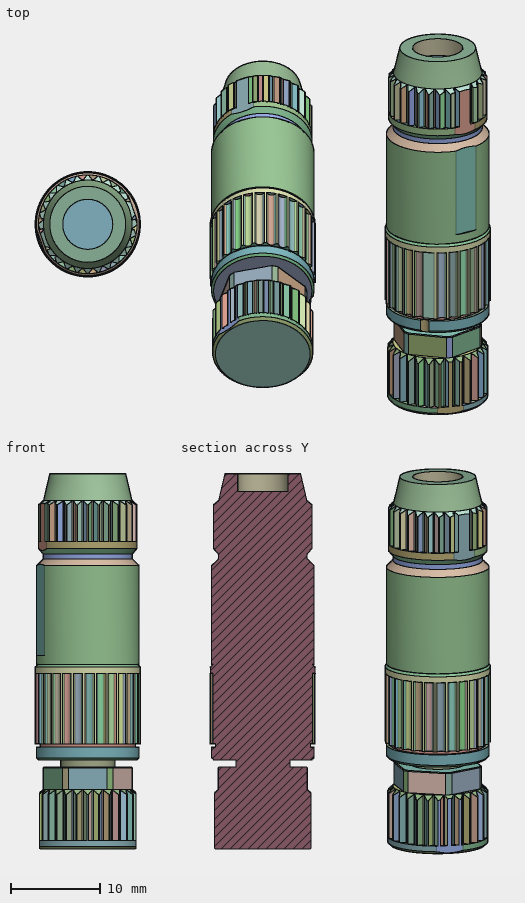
import cadquery as cq
import math

NUT_CHAMFER_TOP_Z = 0.3
NUT_KNURL_BOTTOM_Z = 0.93
NUT_SHOULDER_Z = 6.1
HEX_BOTTOM_Z = 6.65
HEX_TOP_Z = 9.18
COLLAR_BOTTOM_Z = 9.95
COLLAR_TOP_Z = 11.4
GRIP_BOTTOM_Z = 11.75
GRIP_KNURL_TOP_Z = 19.65
BODY_BOTTOM_Z = 20.65
BODY_TOP_Z = 31.7
BODY_CONE_TOP_Z = 32.45
CAP_BOTTOM_Z = 33.0
CAP_RING_BOTTOM_Z = 33.6
CAP_KNURL_BOTTOM_Z = 34.4
CAP_SHOULDER_Z = 38.5
CAP_CONE_BOTTOM_Z = 39.0
TOP_Z = 42.0

NUT_RADIUS = 5.62
NUT_BOTTOM_RADIUS = 5.3
NUT_SHOULDER_RADIUS = 5.02
HEX_CORNER_RADIUS = 5.0
NECK_RADIUS = 6.1 / 2
COLLAR_RADIUS = 11.5 / 2
COLLAR_CHAMFER = 0.25
GAP_RADIUS = 5.35
GRIP_RADIUS = 11.78 / 2
GRIP_CHAMFER = 0.3
BODY_RADIUS = 11.5 / 2
CAP_NECK_RADIUS = 5.0
CAP_RADIUS = 5.52
CAP_CONE_BOTTOM_RADIUS = 9.9 / 2
CAP_CONE_TOP_RADIUS = 8.5 / 2

HEX_ACROSS_FLATS = 9.0
HEX_CHAMFER = 0.1
CABLE_HOLE_DIAMETER = 5.6
CABLE_HOLE_DEPTH = 2.0

GROOVE_COUNT = 28
GROOVE_PITCH = 360 / GROOVE_COUNT
WALL_ANGLE = 46.5
CREST_WIDTH = 0.1
NUT_ROOT_RADIUS = 5.08
CAP_ROOT_RADIUS = 5.02
GRIP_ROOT_RADIUS = 5.54
GRIP_CREST_WIDTH = 0.22
GRIP_FLOOR_WIDTH = 0.72
GRIP_FLOOR_SAG = 0.12
CLEARANCE = 1.0
WALL_SLOPE = 1 / math.tan(math.radians(WALL_ANGLE))

NUT_FLAT_DISTANCE = 5.41
CAP_FLAT_DISTANCE = 5.35
CAP_FLAT_ANGLE = 180 + 1.5 * GROOVE_PITCH
STEPPED_GROOVES = 3
BODY_FLAT_DISTANCE = 5.59
BODY_FLAT_BOTTOM_Z = 21.65
KEY_ANGLE = 150.0
GRIP_FLAT_DISTANCE = 5.785
NOTCH_DIAMETER = 1.1
NOTCH_CENTER_RADIUS = 6.0


def turned_body():
    """Everything round, as one revolved profile."""
    profile = [
        (0, 0),
        (NUT_BOTTOM_RADIUS, 0),
        (NUT_RADIUS, NUT_CHAMFER_TOP_Z),
        (NUT_RADIUS, NUT_SHOULDER_Z),
        (NUT_SHOULDER_RADIUS, HEX_BOTTOM_Z),
        (NECK_RADIUS, HEX_BOTTOM_Z),
        (NECK_RADIUS, COLLAR_BOTTOM_Z),
        (COLLAR_RADIUS - COLLAR_CHAMFER, COLLAR_BOTTOM_Z),
        (COLLAR_RADIUS, COLLAR_BOTTOM_Z + COLLAR_CHAMFER),
        (COLLAR_RADIUS, COLLAR_TOP_Z),
        (GAP_RADIUS, COLLAR_TOP_Z),
        (GAP_RADIUS, GRIP_BOTTOM_Z),
        (GRIP_RADIUS, GRIP_BOTTOM_Z),
        (GRIP_RADIUS, BODY_BOTTOM_Z - GRIP_CHAMFER),
        (GRIP_RADIUS - GRIP_CHAMFER, BODY_BOTTOM_Z),
        (BODY_RADIUS, BODY_BOTTOM_Z),
        (BODY_RADIUS, BODY_TOP_Z),
        (CAP_NECK_RADIUS, BODY_CONE_TOP_Z),
        (CAP_NECK_RADIUS, CAP_BOTTOM_Z),
        (CAP_RADIUS, CAP_RING_BOTTOM_Z),
        (CAP_RADIUS, CAP_SHOULDER_Z),
        (CAP_CONE_BOTTOM_RADIUS, CAP_CONE_BOTTOM_Z),
        (CAP_CONE_TOP_RADIUS, TOP_Z),
        (0, TOP_Z),
    ]
    return cq.Workplane("XZ").polyline(profile).close().revolve(360, (0, 0), (0, 1))


def hexagon():
    """Hexagon with flats facing +-Y and its corners turned down, chamfered on top."""
    height = HEX_TOP_Z - HEX_BOTTOM_Z
    corner_diameter = HEX_ACROSS_FLATS / math.cos(math.radians(30))
    blank = (
        cq.Workplane("XY").workplane(offset=HEX_BOTTOM_Z)
        .polygon(6, corner_diameter).extrude(height)
    )
    turned = (
        cq.Workplane("XY").workplane(offset=HEX_BOTTOM_Z)
        .circle(HEX_CORNER_RADIUS).extrude(height)
    )
    return blank.intersect(turned).faces(">Z").edges().chamfer(HEX_CHAMFER)


def prism(outline, bottom, top, angle):
    """Extrude an outline whose +X is radial, then turn it to the given angle."""
    return outline.extrude(top - bottom).translate((0, 0, bottom)).rotate((0, 0, 0), (0, 0, 1), angle)


def half_opening(radius, crest_width):
    """Half the width of a groove at the outer radius."""
    return radius * math.sin(math.radians(GROOVE_PITCH / 2)) - crest_width / 2


def floor_half_width(radius, root_radius):
    """Half the width of the floor of a V groove."""
    return half_opening(radius, CREST_WIDTH) - (radius - root_radius) * WALL_SLOPE


def v_groove(radius, root_radius, bottom, top, angle):
    """Symmetric groove with straight walls and a narrow floor."""
    floor = floor_half_width(radius, root_radius)
    mouth = half_opening(radius, CREST_WIDTH) + CLEARANCE * WALL_SLOPE
    outline = cq.Workplane("XY").polyline([
        (root_radius, -floor),
        (radius + CLEARANCE, -mouth),
        (radius + CLEARANCE, mouth),
        (root_radius, floor),
    ]).close()
    return prism(outline, bottom, top, angle)


def grip_groove(angle):
    """Symmetric groove with straight walls and a rounded floor."""
    opening = half_opening(GRIP_RADIUS, GRIP_CREST_WIDTH)
    floor = GRIP_FLOOR_WIDTH / 2
    floor_edge = GRIP_ROOT_RADIUS + GRIP_FLOOR_SAG
    slope = (opening - floor) / (GRIP_RADIUS - floor_edge)
    mouth = opening + CLEARANCE * slope
    outline = (
        cq.Workplane("XY")
        .moveTo(floor_edge, floor)
        .threePointArc((GRIP_ROOT_RADIUS, 0), (floor_edge, -floor))
        .lineTo(GRIP_RADIUS + CLEARANCE, -mouth)
        .lineTo(GRIP_RADIUS + CLEARANCE, mouth)
        .close()
    )
    return prism(outline, GRIP_BOTTOM_Z, GRIP_KNURL_TOP_Z, angle)


def stepped_groove(step, side, flat_angle):
    """Cap groove beside a flat: a regular near wall and floor, then a step parallel to the flat."""
    center = math.radians(step * GROOVE_PITCH)
    half_mouth = math.asin(half_opening(CAP_RADIUS, CREST_WIDTH) / CAP_RADIUS)
    half_floor = math.asin(floor_half_width(CAP_RADIUS, CAP_ROOT_RADIUS) / CAP_ROOT_RADIUS)

    def point(radius, angle):
        return radius * math.cos(angle), side * radius * math.sin(angle)

    near_crest = point(CAP_RADIUS, center - half_mouth)
    near_floor = point(CAP_ROOT_RADIUS, center - half_floor)
    far_floor = point(CAP_ROOT_RADIUS, center + half_floor)
    far_crest = point(CAP_RADIUS, center + half_mouth)
    outer_x = CAP_RADIUS + CLEARANCE
    outline = cq.Workplane("XY").polyline([
        near_crest,
        near_floor,
        far_floor,
        (far_crest[0], far_floor[1]),
        far_crest,
        (outer_x, far_crest[1]),
        (outer_x, near_crest[1]),
    ]).close()
    return prism(outline, CAP_KNURL_BOTTOM_Z, CAP_CONE_BOTTOM_Z, flat_angle)


def flat_cutter(distance, bottom, top, angle):
    """Block that leaves a flat at the given distance from the axis."""
    depth = 2 * CLEARANCE
    width = 2 * GRIP_RADIUS
    block = cq.Workplane("XY").box(depth, width, top - bottom, centered=(False, True, False))
    return block.translate((distance, 0, bottom)).rotate((0, 0, 0), (0, 0, 1), angle)


def cut_all(body, cutters):
    """Remove a list of cutters in one operation."""
    return cq.Workplane(obj=body.val().cut(*[cutter.val() for cutter in cutters]))


def nut_cutters():
    """Knurl between nut crests on the X and Y axes, and a flat on each X side."""
    cutters = []
    for index in range(GROOVE_COUNT):
        angle = (index + 0.5) * GROOVE_PITCH
        cutters.append(v_groove(NUT_RADIUS, NUT_ROOT_RADIUS, NUT_KNURL_BOTTOM_Z, HEX_BOTTOM_Z, angle))
    for angle in (0, 180):
        cutters.append(flat_cutter(NUT_FLAT_DISTANCE, 0, HEX_BOTTOM_Z, angle))
    return cutters


def grip_cutters():
    """Knurl with a crest at the key angle; one groove beside it is left out for a flat."""
    cutters = [flat_cutter(GRIP_FLAT_DISTANCE, GRIP_BOTTOM_Z, GRIP_KNURL_TOP_Z, KEY_ANGLE)]
    for index in range(1, GROOVE_COUNT):
        cutters.append(grip_groove(KEY_ANGLE + (index + 0.5) * GROOVE_PITCH))
    return cutters


def cap_cutters():
    """Knurl with two opposite flats and stepped grooves beside each of them."""
    cutters = []
    for flat_angle in (CAP_FLAT_ANGLE, CAP_FLAT_ANGLE - 180):
        cutters.append(flat_cutter(CAP_FLAT_DISTANCE, CAP_BOTTOM_Z, CAP_CONE_BOTTOM_Z, flat_angle))
        for step in range(1, STEPPED_GROOVES + 1):
            for side in (-1, 1):
                cutters.append(stepped_groove(step, side, flat_angle))
        for step in range(STEPPED_GROOVES + 1, GROOVE_COUNT // 2 - STEPPED_GROOVES):
            cutters.append(v_groove(
                CAP_RADIUS, CAP_ROOT_RADIUS, CAP_KNURL_BOTTOM_Z, CAP_CONE_BOTTOM_Z,
                flat_angle + step * GROOVE_PITCH,
            ))
    return cutters


def collar_notch():
    """Round notch in the rim of the collar."""
    outline = cq.Workplane("XY").center(NOTCH_CENTER_RADIUS, 0).circle(NOTCH_DIAMETER / 2)
    return prism(outline, COLLAR_BOTTOM_Z, GRIP_BOTTOM_Z, KEY_ANGLE)


def cable_hole():
    """Blind hole in the top face."""
    bottom = TOP_Z - CABLE_HOLE_DEPTH
    return prism(cq.Workplane("XY").circle(CABLE_HOLE_DIAMETER / 2), bottom, TOP_Z, 0)


result = turned_body()
result = cut_all(result, nut_cutters())
result = cut_all(result, grip_cutters())
result = cut_all(result, cap_cutters())
body_flat = flat_cutter(BODY_FLAT_DISTANCE, BODY_FLAT_BOTTOM_Z, BODY_CONE_TOP_Z, CAP_FLAT_ANGLE)
result = cut_all(result, [body_flat, collar_notch(), cable_hole()])
result = result.union(hexagon())